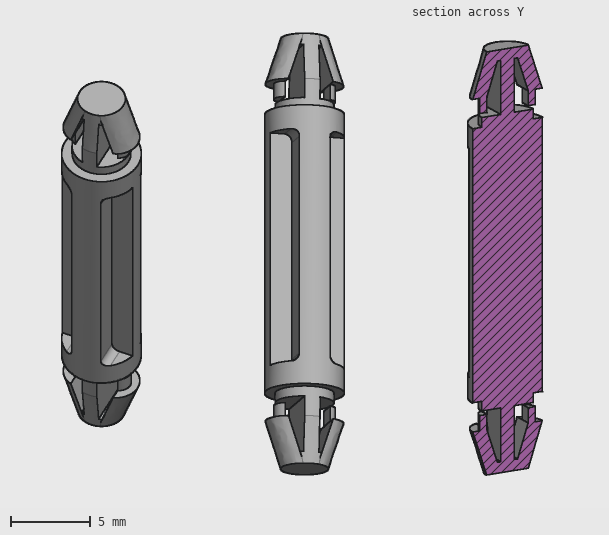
import cadquery as cq
import math

LENGTH = 27.8
HALF_LENGTH = LENGTH / 2
BODY_RADIUS = 5.0 / 2
BODY_LENGTH = 18.01
BODY_TOP = BODY_LENGTH / 2

POCKET_LENGTH = BODY_LENGTH - 2 * 1.5
POCKET_X = 1.0
POCKET_Y = 0.6
POCKET_FILLET = 0.5

COLLAR_RADIUS = 3.7 / 2
COLLAR_HEIGHT = 0.65
STEM_WIDTH = 1.0
TIP_RADIUS = 1.5
TIP_HEIGHT = 0.75

BARB_HEIGHT = 3.0
BARB_BOTTOM = HALF_LENGTH - BARB_HEIGHT
BARB_SPREAD = BODY_RADIUS - TIP_RADIUS
BARB_INNER_X = 0.46

TAB_LENGTH = 1.0
TAB_THICKNESS = 0.53
TAB_HALF_WIDTH = 0.75


def make_body():
    body = cq.Workplane("XY").circle(BODY_RADIUS).extrude(BODY_TOP, both=True)
    pocket = (
        cq.Workplane("XY")
        .box(BODY_RADIUS, BODY_RADIUS, POCKET_LENGTH, centered=(False, False, True))
        .edges("|Y and <X")
        .fillet(POCKET_FILLET)
        .translate((POCKET_X, POCKET_Y, 0))
    )
    pocket_pair = pocket.union(pocket.mirror("YZ"))
    return body.cut(pocket_pair).cut(pocket_pair.mirror("XZ"))


def make_stem():
    """Round core with a conical end, cut to a flat stem between collar and tip."""
    core = (
        cq.Workplane("XZ")
        .moveTo(0, BODY_TOP)
        .lineTo(COLLAR_RADIUS, BODY_TOP)
        .lineTo(COLLAR_RADIUS, BARB_BOTTOM)
        .lineTo(TIP_RADIUS, HALF_LENGTH)
        .lineTo(0, HALF_LENGTH)
        .close()
        .revolve(360, (0, 0, 0), (0, 1, 0))
    )
    gap_bottom = BODY_TOP + COLLAR_HEIGHT
    gap_height = HALF_LENGTH - TIP_HEIGHT - gap_bottom
    gap = cq.Workplane("XY").box(BODY_RADIUS, LENGTH, gap_height, centered=(False, True, False))
    for side in (1, -1):
        gap_x = STEM_WIDTH / 2 if side == 1 else -STEM_WIDTH / 2 - BODY_RADIUS
        core = core.cut(gap.translate((gap_x, 0, gap_bottom)))
    return core


def make_barb():
    """Barb on the +X side with its tab."""
    half_chord = math.sqrt(TIP_RADIUS**2 - BARB_INNER_X**2)
    section = (
        cq.Workplane("XY")
        .workplane(offset=HALF_LENGTH)
        .moveTo(BARB_INNER_X, -half_chord)
        .threePointArc((TIP_RADIUS, 0), (BARB_INNER_X, half_chord))
        .close()
    )
    path = cq.Workplane("XZ").moveTo(0, HALF_LENGTH).lineTo(BARB_SPREAD, BARB_BOTTOM)
    barb = section.sweep(path)
    tab_x = BARB_INNER_X + BARB_SPREAD
    tab = (
        cq.Workplane("XY")
        .workplane(offset=BARB_BOTTOM)
        .moveTo(tab_x, -TAB_HALF_WIDTH)
        .threePointArc((tab_x + TAB_THICKNESS, 0), (tab_x, TAB_HALF_WIDTH))
        .close()
        .extrude(-TAB_LENGTH)
    )
    return barb.union(tab)


def make_snap_end():
    barb = make_barb()
    return make_stem().union(barb).union(barb.mirror("YZ"))


snap_end = make_snap_end()
result = make_body().union(snap_end).union(snap_end.mirror("XY"))